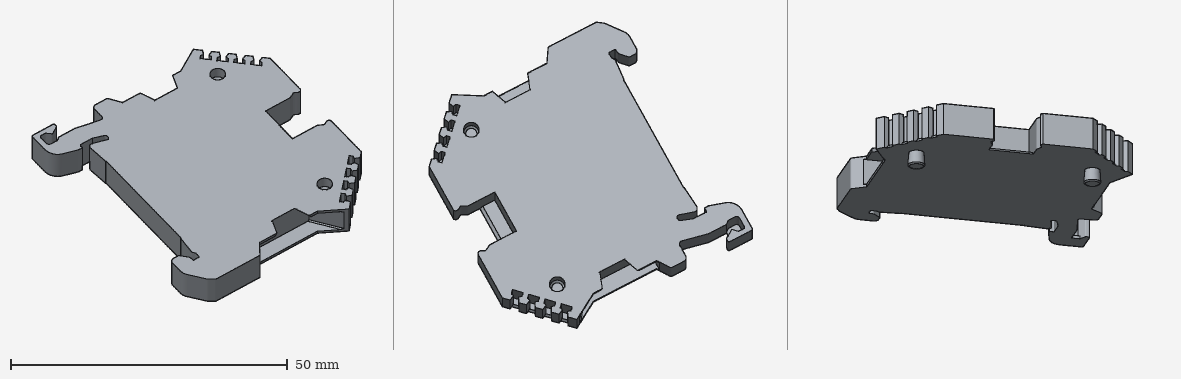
import cadquery as cq
import math


BODY_HEIGHT = 6.0
BODY_LENGTH = 46.0
SKIN = 0.6
OVERSHOOT = 4.8

TOP_CORNER_X = 14.0
TIP_X = 23.95
TIP_Y = BODY_LENGTH - (TIP_X - TOP_CORNER_X)
FLANK_X = 21.05
FLANK_TOP_Y = 31.1
FLANK_BOTTOM_Y = 18.1
LUG_X = 23.6
SPRING_LUG_X = 23.5
LUG_TOP_Y = 16.45
LUG_TOP_RADIUS = 0.45
LUG_BOTTOM_Y = 13.05
RAIL_SEAT_Y = 7.3
RAIL_PAD_Y = 6.9

FOOT_X = 24.15
ARM_OUTER_X = 21.05
FOOT_FLOOR_Y = 3.75

NOTCH_COUNT = 4
NOTCH_FIRST = 2.3
NOTCH_PITCH = 3.1
NOTCH_MOUTH = 1.7
NOTCH_NECK = 0.95
NOTCH_WIDTH = 2.0
NOTCH_DEPTH = 2.0
NOTCH_NECK_END = 0.95
NOTCH_FLARE_END = 1.3
NOTCH_FLOOR = 0.6
NOTCH_FLOOR_START = 0.5
NOTCH_FLOOR_BEVEL = 0.4

WINDOW_HALF = 4.15
WINDOW_BOTTOM_Y = 37.8
WINDOW_LIP_HALF = 4.35
WINDOW_NICK_HALF = 4.75
WINDOW_FLOOR_Y = 40.9
WINDOW_FLOOR_BEVEL = 0.63

CAVITY_X = 18.05
CAVITY_TIP_Y = 35.25
CAVITY_CORNER_Y = 31.37
CAVITY_END_Y = 17.75
CAVITY_CHAMFER = 0.25
CUTOUT_UNDERCUT = 35.0
CUTOUT_MOUTH_Y = (22.05, 29.25)
CUTOUT_INNER_Y = (23.15, 28.15)

PIN_X = 16.45
PIN_Y = 36.05
PIN_RADIUS = 1.4
PIN_LENGTH = 2.6
PIN_RIM_RADIUS = 1.55
PIN_TIP_CHAMFER = 0.25
SOCKET_DEPTH = 2.65
SOCKET_RADIUS = 1.4
SOCKET_END_RADIUS = 1.0


def rounded_outline(workplane, corners):
    """Closed outline through (x, y, radius) corners, starting at a sharp one (radius 0)."""
    path = workplane.moveTo(*corners[0][:2])
    for i, (x, y, radius) in enumerate(corners[1:], start=1):
        if radius == 0:
            path = path.lineTo(x, y)
            continue
        corner = cq.Vector(x, y)
        next_x, next_y, _ = corners[(i + 1) % len(corners)]
        back = (cq.Vector(*corners[i - 1][:2]) - corner).normalized()
        ahead = (cq.Vector(next_x, next_y) - corner).normalized()
        half_angle = back.getAngle(ahead) / 2
        tangent = radius / math.tan(half_angle)
        start = corner + back * tangent
        middle = corner + (back + ahead).normalized() * (radius / math.sin(half_angle) - radius)
        end = corner + ahead * tangent
        path = path.lineTo(start.x, start.y).threePointArc((middle.x, middle.y), (end.x, end.y))
    return path.close()


def both_sides(solid):
    """The solid together with its mirror image across X = 0."""
    return solid.union(solid.mirror("YZ"))


def make_body():
    """Plate outline, followed from the -X top corner down, along the rail side and back up the +X flank."""
    left_flank = [
        (-TOP_CORNER_X, BODY_LENGTH, 0),
        (-TIP_X, TIP_Y, 0),
        (-FLANK_X, FLANK_TOP_Y, 0),
        (-FLANK_X, FLANK_BOTTOM_Y, 0),
        (-SPRING_LUG_X, LUG_TOP_Y, LUG_TOP_RADIUS),
        (-SPRING_LUG_X, LUG_BOTTOM_Y, 0.75),
    ]
    spring_foot = [
        (-19.8, LUG_BOTTOM_Y, 0.6),
        (-ARM_OUTER_X, 7.4, 0),
        (-ARM_OUTER_X, FOOT_FLOOR_Y, 0),
        (-22.55, FOOT_FLOOR_Y, 0),
        (-23.35, 5.05, 0.3),
        (-FOOT_X, 5.05, 0.3),
        (-FOOT_X, 0, 0.35),
        (-17.95, 0, 2.9),
        (-16.4, 4.9, 0.5),
        (-16.4, 5.77, 0),
        (-17.25, 5.77, 0.2),
        (-17.25, 8.55, 0),
        (-16.35, 11.0, 0.45),
        (-15.2, 11.0, 0.45),
    ]
    rail_seat = [
        (-16.35, 7.2, 0.6),
        (-15.6, RAIL_PAD_Y, 0.4),
        (-11.3, 7.2, 0),
        (-11.3, RAIL_SEAT_Y, 0),
        (11.8, RAIL_SEAT_Y, 0),
        (11.8, 7.2, 0),
        (15.75, RAIL_PAD_Y, 0.4),
        (16.35, RAIL_SEAT_Y, 0.25),
    ]
    fixed_foot = [
        (17.45, RAIL_SEAT_Y, 0.2),
        (17.45, 5.95, 0),
        (16.45, 5.8, 0.7),
        (14.95, 4.45, 0.4),
        (14.95, 2.5, 0.8),
        (18.95, 2.5, 2.4),
        (22.7, 5.35, 1.2),
        (LUG_X, 6.55, 0.25),
    ]
    right_flank = [
        (LUG_X, LUG_TOP_Y, LUG_TOP_RADIUS),
        (FLANK_X, FLANK_BOTTOM_Y, 0),
        (FLANK_X, FLANK_TOP_Y, 0),
        (TIP_X, TIP_Y, 0),
        (TOP_CORNER_X, BODY_LENGTH, 0),
    ]
    corners = left_flank + spring_foot + rail_seat + fixed_foot + right_flank
    return rounded_outline(cq.Workplane("XY"), corners).extrude(BODY_HEIGHT)


def make_hook_pocket():
    """Pocket inside the hook of the spring foot, closed at the underside by a thin floor."""
    corners = [
        (-ARM_OUTER_X, FOOT_FLOOR_Y, 0),
        (-22.55, FOOT_FLOOR_Y, 0),
        (-22.3, 3.35, 0.2),
        (-23.2, 2.45, 0.2),
        (-23.2, 1.1, 0.4),
        (-20.5, 1.1, 0.63),
        (-20.5, 3.15, 0.5),
    ]
    return rounded_outline(cq.Workplane("XY").workplane(offset=SKIN), corners).extrude(BODY_HEIGHT)


def make_window():
    """Conductor opening with a lip and a nick on each cheek; a bevelled floor remains below it."""
    past_edge = BODY_LENGTH + OVERSHOOT
    cheek = [
        (WINDOW_HALF, WINDOW_BOTTOM_Y, 0),
        (WINDOW_HALF, 43.3, 0.3),
        (WINDOW_NICK_HALF, 44.5, 0.35),
        (WINDOW_LIP_HALF, 45.25, 0.2),
        (WINDOW_LIP_HALF, 45.7, 0.15),
        (WINDOW_LIP_HALF + 0.3, BODY_LENGTH, 0),
        (WINDOW_LIP_HALF + 0.3, past_edge, 0),
    ]
    other_cheek = [(-x, y, radius) for x, y, radius in reversed(cheek)]
    opening = rounded_outline(cq.Workplane("XY"), cheek + other_cheek).extrude(BODY_HEIGHT)

    floor_profile = [
        (WINDOW_BOTTOM_Y, 0),
        (WINDOW_FLOOR_Y, 0),
        (WINDOW_FLOOR_Y - WINDOW_FLOOR_BEVEL, SKIN),
        (WINDOW_BOTTOM_Y, SKIN),
    ]
    floor = cq.Workplane("YZ").polyline(floor_profile).close().extrude(WINDOW_HALF, both=True)
    return opening.cut(floor)


def make_shoulder_notches():
    """Dovetail notches along the -X shoulder, with a bevelled floor left at the underside."""
    shoulder_start = (-TOP_CORNER_X, BODY_LENGTH, 0)
    along = (-1, -1, 0)
    inward = (1, -1, 0)
    half_outline = [
        (NOTCH_MOUTH / 2, 0),
        (NOTCH_NECK / 2, NOTCH_NECK_END),
        (NOTCH_WIDTH / 2, NOTCH_FLARE_END),
        (NOTCH_WIDTH / 2, NOTCH_DEPTH),
    ]
    notch_outline = half_outline + [(-x, depth) for x, depth in reversed(half_outline)]
    centres = [(NOTCH_FIRST + i * NOTCH_PITCH, 0) for i in range(NOTCH_COUNT)]
    notch = cq.Workplane("XY").polyline(notch_outline).close().extrude(BODY_HEIGHT).val()
    shoulder = cq.Workplane(cq.Plane(shoulder_start, along, (0, 0, 1)))
    notches = shoulder.pushPoints(centres).eachpoint(notch, combine=False, useLocalCoordinates=True)

    floor_length = NOTCH_FIRST + NOTCH_COUNT * NOTCH_PITCH
    floor_profile = [
        (NOTCH_FLOOR_START, 0),
        (NOTCH_FLOOR_START + NOTCH_FLOOR_BEVEL, NOTCH_FLOOR),
        (NOTCH_DEPTH, NOTCH_FLOOR),
        (NOTCH_DEPTH, 0),
    ]
    across = cq.Workplane(cq.Plane(shoulder_start, inward, along))
    floor = across.polyline(floor_profile).close().extrude(floor_length)
    return notches.cut(floor)


def make_side_cavity():
    """Cavity behind the -X flank between two skins, opened through the upper skin by a tapered cutout."""
    outside_x = -TIP_X - OVERSHOOT
    tip_fraction = (TIP_Y - CAVITY_TIP_Y) / (TIP_Y - FLANK_TOP_Y)
    tip_x = -TIP_X + tip_fraction * (TIP_X - FLANK_X)
    cavity_outline = [
        (tip_x, CAVITY_TIP_Y),
        (-CAVITY_X, CAVITY_CORNER_Y),
        (-CAVITY_X, CAVITY_END_Y),
        (outside_x, CAVITY_END_Y),
        (outside_x, CAVITY_TIP_Y),
    ]
    cutout_outline = [
        (-FLANK_X, CUTOUT_MOUTH_Y[0]),
        (-CAVITY_X, CUTOUT_INNER_Y[0]),
        (-CAVITY_X, CUTOUT_INNER_Y[1]),
        (-FLANK_X, CUTOUT_MOUTH_Y[1]),
    ]
    height = BODY_HEIGHT - 2 * SKIN
    cavity = (
        cq.Workplane("XY").workplane(offset=SKIN)
        .polyline(cavity_outline).close().extrude(height)
    )
    slanted_wall = ((tip_x - CAVITY_X) / 2, (CAVITY_TIP_Y + CAVITY_CORNER_Y) / 2)
    for z in (SKIN, BODY_HEIGHT - SKIN):
        cavity = cavity.edges(cq.NearestToPointSelector((*slanted_wall, z))).chamfer(CAVITY_CHAMFER)

    cutout = (
        cq.Workplane("XY").workplane(offset=BODY_HEIGHT)
        .polyline(cutout_outline).close().extrude(-SKIN, taper=-CUTOUT_UNDERCUT)
    )
    outboard = (
        cq.Workplane("XY")
        .moveTo(-CAVITY_X, 0)
        .rect(outside_x + CAVITY_X, BODY_LENGTH, centered=False)
        .extrude(BODY_HEIGHT)
    )
    return cavity.union(cutout.intersect(outboard))


def revolve_at_pin(profile):
    """Turn an (r, z) profile about the -X pin axis."""
    return (
        cq.Workplane("XZ")
        .polyline(profile)
        .close()
        .revolve(360, (0, 0), (0, 1))
        .translate((-PIN_X, PIN_Y, 0))
    )


def make_pin():
    """Locating pin below the underside, rooted one skin deep in the body."""
    return revolve_at_pin([
        (0, SKIN),
        (PIN_RADIUS, SKIN),
        (PIN_RADIUS, 0),
        (PIN_RIM_RADIUS, PIN_TIP_CHAMFER - PIN_LENGTH),
        (PIN_RIM_RADIUS - PIN_TIP_CHAMFER, -PIN_LENGTH),
        (0, -PIN_LENGTH),
    ])


def make_socket():
    """Blind socket in the upper face with a 45 degree cone at its end."""
    cone_length = SOCKET_RADIUS - SOCKET_END_RADIUS
    return revolve_at_pin([
        (0, BODY_HEIGHT),
        (SOCKET_RADIUS, BODY_HEIGHT),
        (SOCKET_RADIUS, BODY_HEIGHT - SOCKET_DEPTH + cone_length),
        (SOCKET_END_RADIUS, BODY_HEIGHT - SOCKET_DEPTH),
        (0, BODY_HEIGHT - SOCKET_DEPTH),
    ])


result = (
    make_body()
    .cut(make_hook_pocket())
    .cut(make_window())
    .cut(both_sides(make_shoulder_notches()))
    .cut(both_sides(make_side_cavity()))
    .union(both_sides(make_pin()))
    .cut(both_sides(make_socket()))
)